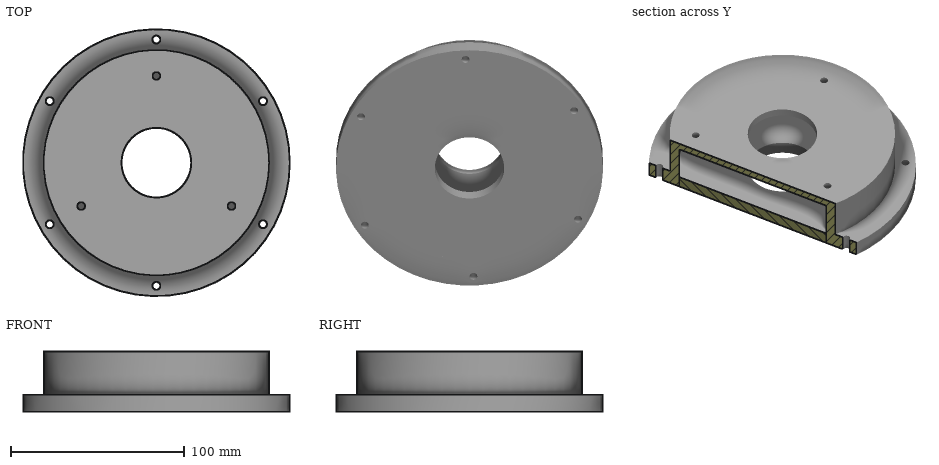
import cadquery as cq

flange_diameter = 154.0
flange_thickness = 10.0
boss_diameter = 130.0
total_height = 35.0
bore_diameter = 120.0
top_thickness = 5.0
center_hole_diameter = 40.0
screw_hole_diameter = 4.5
flange_hole_count = 6
flange_hole_circle_radius = 71.0
top_hole_count = 3
top_hole_circle_radius = 50.0
cover_thickness = 8.0

bore_height = total_height - top_thickness
first_hole_angle = 90.0


def cylinder(diameter, height, base_z=0.0):
    """Vertical cylinder on the common axis, standing on base_z."""
    return cq.Workplane("XY").workplane(offset=base_z).circle(diameter / 2).extrude(height)


def hole_circle(radius, count, height, base_z=0.0):
    """Cutters for evenly spaced vertical screw holes."""
    return (
        cq.Workplane("XY")
        .workplane(offset=base_z)
        .polarArray(radius, first_hole_angle, 360, count)
        .circle(screw_hole_diameter / 2)
        .extrude(height)
    )


def make_housing():
    """Flanged cup, open at the bottom, with a pierced top."""
    body = cylinder(flange_diameter, flange_thickness).union(cylinder(boss_diameter, total_height))
    body = body.cut(cylinder(bore_diameter, bore_height))
    body = body.cut(cylinder(center_hole_diameter, total_height))
    body = body.cut(hole_circle(flange_hole_circle_radius, flange_hole_count, flange_thickness))
    return body.cut(hole_circle(top_hole_circle_radius, top_hole_count, top_thickness, bore_height))


def make_cover():
    """Ring-shaped cover that closes the bottom of the bore."""
    return cylinder(bore_diameter, cover_thickness).cut(cylinder(center_hole_diameter, cover_thickness))


housing = make_housing()
cover = make_cover()

result = cq.Compound.makeCompound([housing.val(), cover.val()])